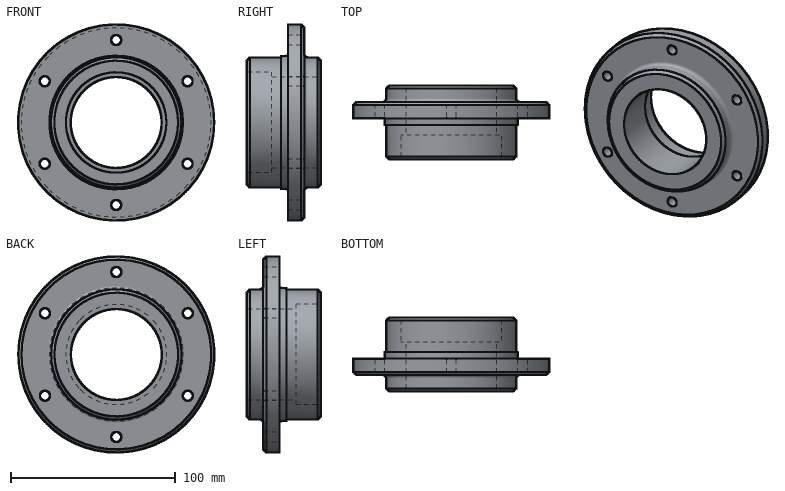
import cadquery as cq
import math

total_length = 45.0
flange_thickness = 10.0
flange_back_offset = 10.0
collar_length = 4.0
counterbore_depth = 15.0

flange_diameter = 119.0
hub_diameter = 79.0
collar_base_diameter = 81.0
collar_front_diameter = 80.7
bore_diameter = 55.0
counterbore_diameter = 60.9

hole_count = 6
hole_diameter = 6.0
bolt_circle_diameter = 99.9
first_hole_angle = 90

edge_chamfer = 2.0
back_fillet_radius = 2.0

back_y = total_length / 2
front_y = -back_y
flange_back_y = back_y - flange_back_offset
flange_front_y = flange_back_y - flange_thickness


def cylinder(diameter, y_start, length):
    """Cylinder about the Y axis running from y_start toward -Y."""
    plane = cq.Workplane("XZ", origin=(0, y_start, 0))
    return plane.circle(diameter / 2).extrude(length)


hub_radius = hub_diameter / 2
collar_base_radius = collar_base_diameter / 2
collar_front_radius = collar_front_diameter / 2
flange_radius = flange_diameter / 2
collar_front_y = flange_front_y - collar_length

fillet_end = (hub_radius, flange_back_y + back_fillet_radius)
fillet_centre = (hub_radius + back_fillet_radius, flange_back_y + back_fillet_radius)
fillet_reach = back_fillet_radius * math.sqrt(0.5)
fillet_middle = (fillet_centre[0] - fillet_reach, fillet_centre[1] - fillet_reach)

body = (
    cq.Workplane("XY")
    .moveTo(0, front_y)
    .lineTo(hub_radius - edge_chamfer, front_y)
    .lineTo(hub_radius, front_y + edge_chamfer)
    .lineTo(hub_radius, collar_front_y)
    .lineTo(collar_front_radius, collar_front_y)
    .lineTo(collar_base_radius, flange_front_y)
    .lineTo(flange_radius, flange_front_y)
    .lineTo(flange_radius, flange_back_y - edge_chamfer)
    .lineTo(flange_radius - edge_chamfer, flange_back_y)
    .lineTo(fillet_centre[0], flange_back_y)
    .threePointArc(fillet_middle, fillet_end)
    .lineTo(hub_radius, back_y - edge_chamfer)
    .lineTo(hub_radius - edge_chamfer, back_y)
    .lineTo(0, back_y)
    .close()
    .revolve(360, (0, 0, 0), (0, 1, 0))
)

bore = cylinder(bore_diameter, back_y, total_length)
counterbore = cylinder(counterbore_diameter, front_y + counterbore_depth, counterbore_depth)

bolt_holes = (
    cq.Workplane("XZ", origin=(0, flange_back_y, 0))
    .polarArray(bolt_circle_diameter / 2, first_hole_angle, 360, hole_count)
    .circle(hole_diameter / 2)
    .extrude(flange_thickness)
)

result = body.cut(bore).cut(counterbore).cut(bolt_holes)